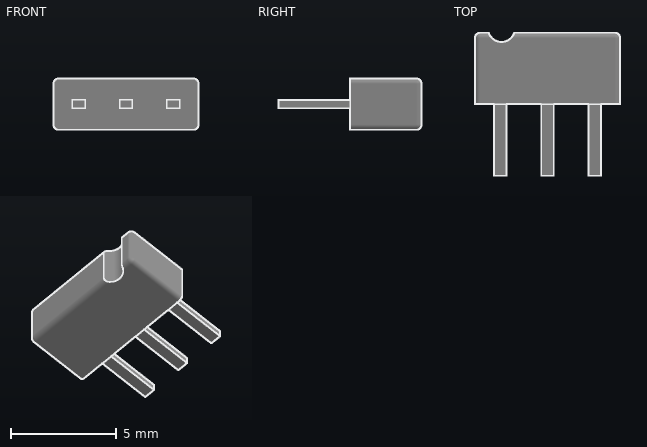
import cadquery as cq

body_width = 6.9
body_depth = 3.4
body_height = 2.45
edge_radius = 0.25

lead_count = 3
lead_pitch = 2.24
lead_width = 0.6
lead_thickness = 0.4
lead_length = 3.4

notch_radius = 0.635
notch_depth = 0.44
notch_x = -2.19


def make_body():
    """Block with every edge rounded except those of the lead face at Y = 0."""
    block = cq.Workplane("XY").box(
        body_width, body_depth, body_height, centered=(True, False, True)
    )
    return block.edges("|Y or >Y").fillet(edge_radius)


def make_notch():
    """Upright cylinder that cuts the back face through the full height."""
    notch_y = body_depth - notch_depth + notch_radius
    return (
        cq.Workplane("XY")
        .center(notch_x, notch_y)
        .circle(notch_radius)
        .extrude(body_height / 2, both=True)
    )


def make_leads():
    """Rectangular leads running in -Y from the lead face."""
    return (
        cq.Workplane("XZ")
        .rarray(lead_pitch, 0.07, lead_count, 1)
        .rect(lead_width, lead_thickness)
        .extrude(lead_length)
    )


result = make_body().cut(make_notch()).union(make_leads())